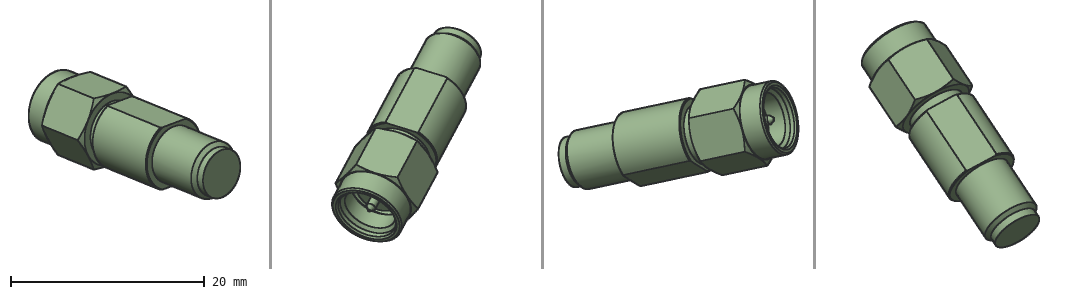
import cadquery as cq
import math

TOTAL_LENGTH = 25

RIM_RADIUS = 3.9
RIM_CHAMFER = 0.18
HEX_START = 2.58
HEX_END = 8.62
HEX_ACROSS_FLATS = 8
HEX_CORNER_RADIUS = HEX_ACROSS_FLATS / math.sqrt(3)
HEX_FACE_RADIUS = 3.98
HEX_CHAMFER_LENGTH = 0.35

MOUTH_RADIUS = 3.4
COUNTERBORE_RADIUS = 3.2
COUNTERBORE_END = 0.7
BORE_RADIUS = 2.82
BORE_END = 3.05
RELIEF_RADIUS = 3.25
MOUTH_CONE_END = MOUTH_RADIUS - COUNTERBORE_RADIUS
BORE_START = COUNTERBORE_END + COUNTERBORE_RADIUS - BORE_RADIUS
RELIEF_START = BORE_END + RELIEF_RADIUS - BORE_RADIUS

STUB_RADIUS = 2.3
BODY_FRONT = 3.08
SHOULDER = 4.5
NECK_RADIUS = 3.12
BARREL_START = 9.72
BARREL_END = 17.85
BARREL_RADIUS = 3.95
BARREL_ACROSS_FLATS = 7
BARREL_CHAMFER = 0.1
TAIL_CONE_START = 23.7
TAIL_CONE_END = 24.15
TAIL_TIP_RADIUS = 2.68

PIN_RADIUS = 0.5
PIN_TIP_RADIUS = 0.15
PIN_TIP = 0.8
PIN_CONE_LENGTH = 0.5
PIN_SOCKET_DEPTH = 2.5
PIN_END = BODY_FRONT + PIN_SOCKET_DEPTH


def revolve_about_x(points):
    """Solid of revolution about X from (x, radius) points."""
    return cq.Workplane("XY").polyline(points).close().revolve(360, (0, 0, 0), (1, 0, 0))


def cylinder_along_x(start, end, radius):
    return cq.Workplane("YZ", origin=(start, 0, 0)).circle(radius).extrude(end - start)


def make_nut_rim():
    return revolve_about_x([
        (0, 0),
        (0, RIM_RADIUS - RIM_CHAMFER),
        (RIM_CHAMFER, RIM_RADIUS),
        (HEX_START, RIM_RADIUS),
        (HEX_START, 0),
    ])


def make_nut_hexagon():
    """Hexagonal prism whose corners are cut back by a cone at each end."""
    prism = (
        cq.Workplane("YZ", origin=(HEX_START, 0, 0))
        .polygon(6, 2 * HEX_CORNER_RADIUS)
        .extrude(HEX_END - HEX_START)
    )
    corner_trim = revolve_about_x([
        (HEX_START, 0),
        (HEX_START, HEX_FACE_RADIUS),
        (HEX_START + HEX_CHAMFER_LENGTH, HEX_CORNER_RADIUS),
        (HEX_END - HEX_CHAMFER_LENGTH, HEX_CORNER_RADIUS),
        (HEX_END, HEX_FACE_RADIUS),
        (HEX_END, 0),
    ])
    return prism.intersect(corner_trim)


def make_nut_bore():
    """Space inside the nut, stepped down at the shoulder to fit the neck of the body."""
    return revolve_about_x([
        (0, 0),
        (0, MOUTH_RADIUS),
        (MOUTH_CONE_END, COUNTERBORE_RADIUS),
        (COUNTERBORE_END, COUNTERBORE_RADIUS),
        (BORE_START, BORE_RADIUS),
        (BORE_END, BORE_RADIUS),
        (RELIEF_START, RELIEF_RADIUS),
        (SHOULDER, RELIEF_RADIUS),
        (SHOULDER, NECK_RADIUS),
        (HEX_END, NECK_RADIUS),
        (HEX_END, 0),
    ])


def make_nut():
    return make_nut_rim().union(make_nut_hexagon()).cut(make_nut_bore())


def make_barrel():
    """Chamfered cylinder with a wrench flat on top and bottom."""
    barrel = cylinder_along_x(BARREL_START, BARREL_END, BARREL_RADIUS)
    barrel = barrel.faces("<X or >X").chamfer(BARREL_CHAMFER)
    slab = cq.Workplane("XY").box(2 * TOTAL_LENGTH, 2 * BARREL_RADIUS, BARREL_ACROSS_FLATS)
    return barrel.intersect(slab)


def make_body():
    """Turned spindle with the barrel around it and a blind socket for the pin."""
    spindle = revolve_about_x([
        (BODY_FRONT, 0),
        (BODY_FRONT, STUB_RADIUS),
        (SHOULDER, STUB_RADIUS),
        (SHOULDER, NECK_RADIUS),
        (TAIL_CONE_START, NECK_RADIUS),
        (TAIL_CONE_END, TAIL_TIP_RADIUS),
        (TOTAL_LENGTH, TAIL_TIP_RADIUS),
        (TOTAL_LENGTH, 0),
    ])
    socket = cylinder_along_x(BODY_FRONT, PIN_END, PIN_RADIUS)
    return spindle.union(make_barrel()).cut(socket)


def make_pin():
    return revolve_about_x([
        (PIN_TIP, 0),
        (PIN_TIP, PIN_TIP_RADIUS),
        (PIN_TIP + PIN_CONE_LENGTH, PIN_RADIUS),
        (PIN_END, PIN_RADIUS),
        (PIN_END, 0),
    ])


nut = make_nut()
body = make_body()
pin = make_pin()

result = cq.Compound.makeCompound([nut.val(), body.val(), pin.val()])